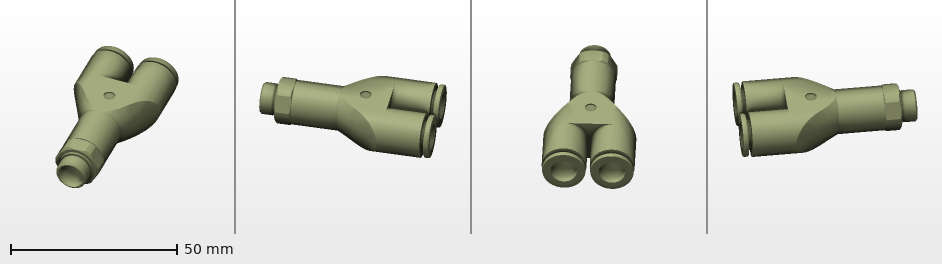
import cadquery as cq
import math


thread_top = 3.8
neck_top = 4.5
washer_top = 4.95
nut_top = 10.15
taper_start = 24.25
taper_end = 38.1
web_top = 39.4
leg_top = 51.2
collar_base = 52.25
overall_length = 53.9

body_diameter = 13.5
body_radius = body_diameter / 2
body_width = 28.0
leg_offset = body_width / 2 - body_radius
bore_radius = 4.0
thread_radius = 4.85
thread_chamfer = 0.55
neck_radius = 4.6
washer_radius = 5.4
nut_across_flats = 13.1
nut_corner_radius = 7.05
nut_face_radius = 6.35
nut_chamfer = 0.5
collar_diameter = 13.1
collar_radius = collar_diameter / 2
collar_neck_radius = 4.6
collar_chamfer = 0.4
collar_front_step = 0.1
collar_back_step = 0.25

recess_diameter = 3.55
recess_depth = 0.5
recess_y = 31.85


def turned(profile):
    """Solid of revolution about Y from (radius, y) points; the axis side is closed."""
    outline = [(0, profile[0][1])] + profile + [(0, profile[-1][1])]
    return cq.Workplane("XY").polyline(outline).close().revolve(360, (0, 0, 0), (0, 1, 0))


def cylinder(radius, start, end, x=0):
    """Cylinder parallel to Y between two stations."""
    return turned([(radius, start), (radius, end)]).translate((x, 0, 0))


def body():
    """Two legs joined by a flat web, cut down to the stem by a cone, plus the round stem."""
    web_length = web_top - taper_start
    branches = cq.Workplane("XY").box(
        2 * leg_offset, web_length, 2 * body_radius
    ).translate((0, taper_start + web_length / 2, 0))
    for side in (-1, 1):
        branches = branches.union(cylinder(body_radius, taper_start, leg_top, side * leg_offset))
    envelope = turned([
        (body_radius, taper_start),
        (body_width / 2, taper_end),
        (body_width / 2, leg_top),
    ])
    stem = cylinder(body_radius, nut_top, taper_start)
    return branches.intersect(envelope).union(stem)


def nut():
    """Hexagon with flats facing +Z and -Z, turned down at its corners and both ends."""
    corner_diameter = nut_across_flats / math.cos(math.pi / 6)
    hexagon = (
        cq.Workplane("XZ", origin=(0, nut_top, 0))
        .polygon(6, corner_diameter)
        .extrude(nut_top - washer_top)
    )
    envelope = turned([
        (nut_face_radius, washer_top),
        (nut_corner_radius, washer_top + nut_chamfer),
        (nut_corner_radius, nut_top - nut_chamfer),
        (nut_face_radius, nut_top),
    ])
    return hexagon.intersect(envelope)


def threaded_end():
    """Plain thread cylinder and tapered undercut neck."""
    return turned([
        (thread_radius - thread_chamfer, 0),
        (thread_radius, thread_chamfer),
        (thread_radius, thread_top),
        (neck_radius, neck_top),
        (neck_radius, washer_top),
    ])


def sealing_washer():
    """Disc against the nut, its outer edge rounded over its full thickness."""
    thickness = washer_top - neck_top
    diagonal = thickness * math.sqrt(0.5)
    flat_radius = washer_radius - thickness
    return (
        cq.Workplane("XY")
        .moveTo(0, neck_top)
        .lineTo(flat_radius, neck_top)
        .threePointArc((flat_radius + diagonal, washer_top - diagonal), (washer_radius, washer_top))
        .lineTo(0, washer_top)
        .close()
        .revolve(360, (0, 0, 0), (0, 1, 0))
    )


def release_collar(x):
    """Push ring on a narrower sleeve at the open end of a leg."""
    return turned([
        (collar_neck_radius, leg_top),
        (collar_neck_radius, collar_base),
        (collar_radius - collar_back_step, collar_base),
        (collar_radius, collar_base + collar_chamfer),
        (collar_radius, overall_length - collar_chamfer),
        (collar_radius - collar_front_step, overall_length),
    ]).translate((x, 0, 0))


def branch_passage(x):
    """Slanted passage from the stem bore to a leg bore, round in every plane across Y."""
    return (
        cq.Workplane("XZ", origin=(0, taper_start, 0))
        .circle(bore_radius)
        .workplane(offset=taper_start - taper_end)
        .center(x, 0)
        .circle(bore_radius)
        .loft(ruled=True)
    )


def web_recess():
    """Shallow round pocket in the +Z face of the web."""
    return (
        cq.Workplane("XY", origin=(0, recess_y, body_radius - recess_depth))
        .circle(recess_diameter / 2)
        .extrude(recess_depth)
    )


result = body().union(nut()).union(threaded_end()).union(sealing_washer())
result = result.cut(web_recess())
result = result.cut(cylinder(bore_radius, 0, taper_start))
for leg_x in (-leg_offset, leg_offset):
    result = result.union(release_collar(leg_x))
for leg_x in (-leg_offset, leg_offset):
    result = result.cut(branch_passage(leg_x))
    result = result.cut(cylinder(bore_radius, taper_end, overall_length, leg_x))